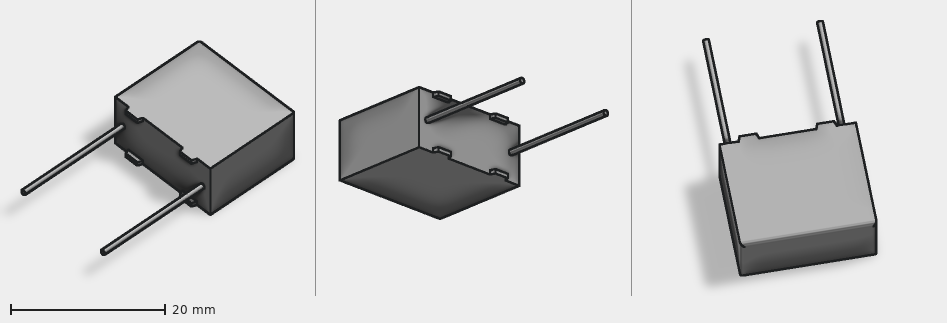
import cadquery as cq


OVERALL_LENGTH = 33.0

CASE_WIDTH = 18.0
CASE_DEPTH = 15.28
CASE_HEIGHT = 8.5
BACK_EDGE_RADIUS = 0.63

FOOT_SPACING = 10.23
FOOT_BASE_WIDTH = 2.75
FOOT_TIP_WIDTH = 2.2
FOOT_LENGTH = 0.73
FOOT_THICKNESS = 0.63

LEAD_SPACING = 15.0
LEAD_DIAMETER = 0.8
LEAD_LENGTH = OVERALL_LENGTH - CASE_DEPTH


def make_foot(center_x, bottom_z):
    """Tapered foot that stands on the lead side of the case."""
    outline = [
        (center_x - FOOT_BASE_WIDTH / 2, 0),
        (center_x - FOOT_TIP_WIDTH / 2, -FOOT_LENGTH),
        (center_x + FOOT_TIP_WIDTH / 2, -FOOT_LENGTH),
        (center_x + FOOT_BASE_WIDTH / 2, 0),
    ]
    return (
        cq.Workplane("XY")
        .workplane(offset=bottom_z)
        .polyline(outline)
        .close()
        .extrude(FOOT_THICKNESS)
    )


def make_case():
    """Block with a rounded back rim and four feet flush with its top and bottom."""
    case = (
        cq.Workplane("XY")
        .box(CASE_WIDTH, CASE_DEPTH, CASE_HEIGHT, centered=(True, False, True))
        .faces(">Y")
        .edges()
        .fillet(BACK_EDGE_RADIUS)
    )
    lower_foot_z = -CASE_HEIGHT / 2
    upper_foot_z = CASE_HEIGHT / 2 - FOOT_THICKNESS
    for center_x in (-FOOT_SPACING / 2, FOOT_SPACING / 2):
        for bottom_z in (lower_foot_z, upper_foot_z):
            case = case.union(make_foot(center_x, bottom_z))
    return case


def make_lead(center_x):
    """Round wire that starts on the case and runs towards -Y."""
    return (
        cq.Workplane("XZ")
        .center(center_x, 0)
        .circle(LEAD_DIAMETER / 2)
        .extrude(LEAD_LENGTH)
    )


case = make_case()
leads = [make_lead(center_x) for center_x in (-LEAD_SPACING / 2, LEAD_SPACING / 2)]

result = cq.Compound.makeCompound([case.val(), *[lead.val() for lead in leads]])